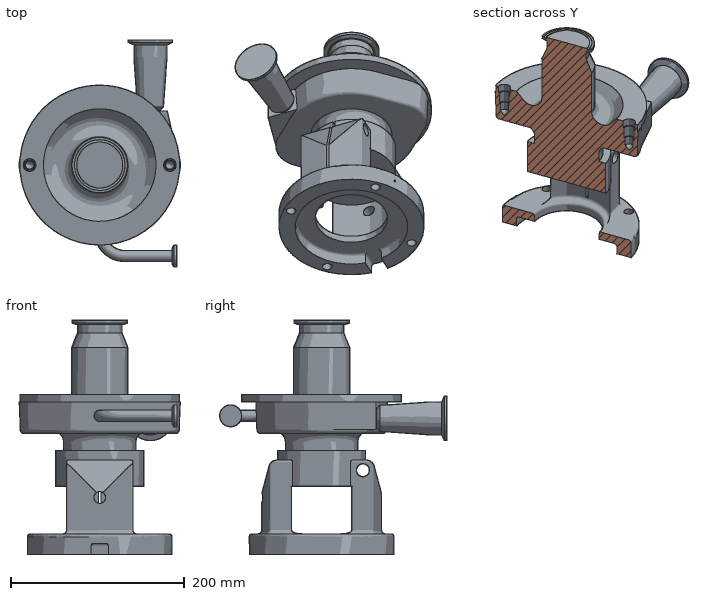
import cadquery as cq
import math

base_top = 24.0
collar_bottom = 78.5
leg_top = 109.0
collar_top = 120.2
casing_bottom = 139.5
flange_bottom = 175.8
flange_top = 184.7
inlet_top = 270.0

base_radius = 83.5
base_bore_radius = 41.5
base_pocket_height = 13.0
base_round = 3.5
base_pocket_radius = 64.8
base_bolt_circle_radius = 74.8
base_bolt_radius = 5.5
notch_width = 20.0
notch_round = 3.2
pin_hole_radius = 1.0
pin_hole_depth = 8.0
pin_hole_angle = 150

leg_half_width = 38.3
leg_shoulder_y = 59.5
leg_ridge_y = 69.0
leg_ridge_half_width = 2.5
leg_bore_radius = 51.5
leg_slope_start = 70.2
leg_slope_angle = 15
leg_top_round = 10.0
leg_corner_round = 2.7
leg_foot_fillet = 4.3
front_hole_radius = 6.8
front_hole_height = 66.0
clamp_hole_radius = 7.3
clamp_hole_y = 47.5
clamp_hole_height = 97.2
clamp_slit_width = 2.7

collar_radius = 50.8
neck_radius = 41.8
neck_flare_start = 130.1
neck_flare_radius = 11.3

casing_radius = 76.0
lobe_radius = 35.0
lobe_center_x = 57.8
casing_draft = 2
casing_bottom_round = 4.3
flange_radius = 92.0

recess_outer_radius = 64.8
recess_groove_radius = 57.5
recess_cone_bottom = 177.0
groove_bottom = 171.5
groove_center_radius = 46.5
pipe_radius = 32.5
pipe_foot = 185.5
pipe_shoulder = 238.7
inlet_neck_radius = 25.6
inlet_neck_bottom = 255.5
inlet_rim_radius = 31.9
inlet_rim_thickness = 3.5
inlet_rim_taper = 1.5
gasket_groove_radius = 27.8
gasket_groove_half_width = 1.4

screw_x = 80.7
screw_clearance_radius = 7.3
screw_thread_radius = 6.0
screw_core_radius = 4.9
screw_thread_depth = 13.5
screw_hole_bottom = 147.2

outlet_x = 58.3
outlet_z = 157.0
outlet_end_y = 144.2
outlet_rim_radius = 25.6
outlet_rim_thickness = 3.0
outlet_rim_taper = 3.0
outlet_radius = 19.2
outlet_cone_end_y = 124.2
outlet_foot_radius = 15.0
outlet_foot_y = 67.0
outlet_weld = 3.8
boss_end_y = 62.5
boss_corner_x = 77.8
boss_side_x = 90.2
boss_side_y = 7.5
boss_inner_x = 32.5

drain_radius = 6.5
drain_z = 159.8
drain_bend_radius = 29.0
drain_start_y = -70.2
drain_y = -104.8
drain_end_x = 88.8
drain_rim_radius = 12.7
drain_rim_thickness = 3.5
drain_rim_taper = 2.5
drain_rim_foot_radius = 8.6


def cylinder(radius, bottom, top, x=0, y=0):
    """Upright cylinder between two heights."""
    return cq.Workplane("XY", origin=(x, y, bottom)).circle(radius).extrude(top - bottom)


def edges_on_base_top(half_x, half_y):
    """Selector for edges lying on the base's top face, inside a centred rectangle."""
    margin = 0.3
    return cq.selectors.BoxSelector(
        (-half_x - margin, -half_y - margin, base_top - margin),
        (half_x + margin, half_y + margin, base_top + margin),
        boundingbox=True,
    )


def make_leg():
    """Leg on the -Y side: where its plan, side and front outlines overlap."""
    height = leg_top - base_top
    plan = (
        cq.Workplane("XY", origin=(0, 0, base_top))
        .moveTo(-leg_half_width, 0)
        .lineTo(-leg_half_width, -leg_shoulder_y)
        .lineTo(-leg_ridge_half_width, -leg_ridge_y)
        .lineTo(leg_ridge_half_width, -leg_ridge_y)
        .lineTo(leg_half_width, -leg_shoulder_y)
        .lineTo(leg_half_width, 0)
        .close()
        .extrude(height)
    )
    shoulder_edges = cq.selectors.BoxSelector(
        (-leg_half_width - leg_corner_round, -leg_shoulder_y - leg_corner_round, 0),
        (leg_half_width + leg_corner_round, -leg_shoulder_y + leg_corner_round, leg_top),
    )
    plan = plan.edges("|Z").edges(shoulder_edges).fillet(leg_corner_round)

    lean = (leg_top - leg_slope_start) * math.tan(math.radians(leg_slope_angle))
    side = (
        cq.Workplane("YZ")
        .moveTo(0, base_top)
        .lineTo(-leg_ridge_y, base_top)
        .lineTo(-leg_ridge_y, leg_slope_start)
        .lineTo(-leg_ridge_y + lean, leg_top)
        .lineTo(0, leg_top)
        .close()
        .extrude(leg_half_width, both=True)
    )
    side = side.faces(">Z").edges("<Y").fillet(leg_top_round)

    front = (
        cq.Workplane("XZ", origin=(0, 0, base_top + height / 2))
        .rect(2 * leg_half_width, height)
        .extrude(leg_ridge_y)
        .faces(">Z")
        .edges("|Y")
        .fillet(leg_corner_round)
    )
    leg = plan.intersect(side).intersect(front)
    return leg.cut(cylinder(leg_bore_radius, 0, collar_bottom))


def make_stand():
    """Base ring with both legs, a fillet around each foot and rounded ring edges."""
    base = cylinder(base_radius, 0, base_top)
    base = base.faces(">Z").edges().fillet(base_round)
    leg = make_leg()
    stand = base.union(leg).union(leg.mirror("XZ"))
    stand = stand.edges(edges_on_base_top(leg_half_width, leg_ridge_y)).fillet(leg_foot_fillet)
    stand = stand.cut(cylinder(base_bore_radius, 0, base_top))
    bore_rim = edges_on_base_top(base_bore_radius, base_bore_radius)
    stand = stand.edges(bore_rim).fillet(base_round)

    pocket = cylinder(base_pocket_radius, 0, base_pocket_height)
    return stand.cut(pocket.faces(">Z").edges().fillet(base_round))


def add_stand_holes(body):
    """Holes, notch and clamp slit of the base and legs."""
    for corner in range(4):
        angle = math.radians(45 + 90 * corner)
        x = base_bolt_circle_radius * math.cos(angle)
        y = base_bolt_circle_radius * math.sin(angle)
        body = body.cut(cylinder(base_bolt_radius, 0, base_top, x, y))

    notch = (
        cq.Workplane("XZ", origin=(0, 0, base_pocket_height / 2))
        .rect(notch_width, base_pocket_height)
        .extrude(base_radius)
        .faces(">Z")
        .edges("|Y")
        .fillet(notch_round)
    )
    body = body.cut(notch)

    angle = math.radians(pin_hole_angle)
    outward = cq.Vector(math.cos(angle), math.sin(angle), 0)
    pin_start = outward * (base_radius - pin_hole_depth) + cq.Vector(0, 0, base_top / 2)
    body = body.cut(cq.Solid.makeCylinder(pin_hole_radius, 2 * pin_hole_depth, pin_start, outward))

    front_hole = (
        cq.Workplane("XZ", origin=(0, 0, front_hole_height))
        .circle(front_hole_radius)
        .extrude(leg_ridge_y)
    )
    body = body.cut(front_hole)

    clamp_hole = (
        cq.Workplane("YZ", origin=(0, clamp_hole_y, clamp_hole_height))
        .circle(clamp_hole_radius)
        .extrude(leg_half_width, both=True)
    )
    slit_length = leg_ridge_y - neck_radius
    slit = (
        cq.Workplane("XY", origin=(0, neck_radius + slit_length / 2, base_top + leg_foot_fillet))
        .rect(clamp_slit_width, slit_length)
        .extrude(collar_top - base_top - leg_foot_fillet)
    )
    return body.cut(clamp_hole).cut(slit)


def make_neck():
    """Neck flaring into the casing."""
    flare_center_x = neck_radius + neck_flare_radius
    flare_rise = casing_bottom - neck_flare_start
    flare_run = math.sqrt(neck_flare_radius**2 - flare_rise**2)
    half_sweep = math.asin(flare_rise / neck_flare_radius) / 2
    flare_middle = (
        flare_center_x - neck_flare_radius * math.cos(half_sweep),
        neck_flare_start + neck_flare_radius * math.sin(half_sweep),
    )
    return (
        cq.Workplane("XZ")
        .moveTo(0, collar_top)
        .lineTo(neck_radius, collar_top)
        .lineTo(neck_radius, neck_flare_start)
        .threePointArc(flare_middle, (flare_center_x - flare_run, casing_bottom))
        .lineTo(0, casing_bottom)
        .close()
        .revolve(360, (0, 0), (0, 1))
    )


def make_casing():
    """Drafted casing: a circle joined to a smaller lobe on each side by tangent lines."""
    tangent_angle = math.acos((casing_radius - lobe_radius) / lobe_center_x)
    cos_t = math.cos(tangent_angle)
    sin_t = math.sin(tangent_angle)
    main_x, main_y = casing_radius * cos_t, casing_radius * sin_t
    lobe_x, lobe_y = lobe_center_x + lobe_radius * cos_t, lobe_radius * sin_t
    lobe_tip = lobe_center_x + lobe_radius
    casing = (
        cq.Workplane("XY", origin=(0, 0, flange_bottom))
        .moveTo(-main_x, main_y)
        .threePointArc((0, casing_radius), (main_x, main_y))
        .lineTo(lobe_x, lobe_y)
        .threePointArc((lobe_tip, 0), (lobe_x, -lobe_y))
        .lineTo(main_x, -main_y)
        .threePointArc((0, -casing_radius), (-main_x, -main_y))
        .lineTo(-lobe_x, -lobe_y)
        .threePointArc((-lobe_tip, 0), (-lobe_x, lobe_y))
        .close()
        .extrude(casing_bottom - flange_bottom, taper=casing_draft)
    )
    casing = casing.faces("<Z").edges().fillet(casing_bottom_round)

    boss = (
        cq.Workplane("XY", origin=(0, 0, casing_bottom + casing_bottom_round))
        .moveTo(boss_inner_x, boss_side_y)
        .lineTo(boss_side_x, boss_side_y)
        .lineTo(boss_corner_x, boss_end_y)
        .lineTo(boss_inner_x, boss_end_y)
        .close()
        .extrude(flange_bottom - casing_bottom - casing_bottom_round)
    )
    flange = cylinder(flange_radius, flange_bottom, flange_top)
    return casing.union(boss).union(flange)


def add_screw_holes(body):
    """Blind threaded holes with clearance through the flange and a conical end."""
    thread_bottom = flange_bottom - screw_thread_depth
    hole = (
        cq.Workplane("XZ")
        .moveTo(0, flange_top)
        .lineTo(screw_clearance_radius, flange_top)
        .lineTo(screw_clearance_radius, flange_bottom)
        .lineTo(screw_thread_radius, flange_bottom)
        .lineTo(screw_thread_radius, thread_bottom)
        .lineTo(screw_core_radius, thread_bottom)
        .lineTo(screw_core_radius, screw_hole_bottom + screw_core_radius)
        .lineTo(0, screw_hole_bottom)
        .close()
        .revolve(360, (0, 0), (0, 1))
    )
    for x in (-screw_x, screw_x):
        body = body.cut(hole.translate((x, 0, 0)))
    return body


def make_recess():
    """Conical dish and rounded groove around the foot of the inlet pipe."""
    return (
        cq.Workplane("XZ")
        .moveTo(0, pipe_foot)
        .lineTo(pipe_radius, pipe_foot)
        .threePointArc(
            (groove_center_radius, groove_bottom),
            (recess_groove_radius, recess_cone_bottom),
        )
        .lineTo(recess_outer_radius, flange_top)
        .lineTo(recess_outer_radius, pipe_foot)
        .close()
        .revolve(360, (0, 0), (0, 1))
        .cut(cylinder(pipe_radius, casing_bottom, inlet_top))
    )


def make_inlet():
    """Inlet pipe narrowing to a clamp ferrule with a gasket groove."""
    rim_bottom = inlet_top - inlet_rim_thickness
    pipe = (
        cq.Workplane("XZ")
        .moveTo(0, casing_bottom)
        .lineTo(pipe_radius, casing_bottom)
        .lineTo(pipe_radius, pipe_shoulder)
        .lineTo(inlet_neck_radius, inlet_neck_bottom)
        .lineTo(inlet_neck_radius, rim_bottom - inlet_rim_taper)
        .lineTo(inlet_neck_radius + inlet_rim_taper, rim_bottom - inlet_rim_taper)
        .lineTo(inlet_rim_radius, rim_bottom)
        .lineTo(inlet_rim_radius, inlet_top)
        .lineTo(0, inlet_top)
        .close()
        .revolve(360, (0, 0), (0, 1))
    )
    gasket_groove = cq.Solid.makeTorus(
        gasket_groove_radius, gasket_groove_half_width, cq.Vector(0, 0, inlet_top)
    )
    return pipe.cut(gasket_groove)


def make_outlet():
    """Tapered outlet with a clamp ferrule, pointing along +Y."""
    rim_start_y = outlet_end_y - outlet_rim_thickness
    return (
        cq.Workplane("XY", origin=(outlet_x, 0, outlet_z))
        .moveTo(0, 0)
        .lineTo(outlet_foot_radius - outlet_weld, 0)
        .lineTo(outlet_foot_radius - outlet_weld, outlet_foot_y - outlet_weld)
        .lineTo(outlet_foot_radius, outlet_foot_y)
        .lineTo(outlet_radius, outlet_cone_end_y)
        .lineTo(outlet_radius, rim_start_y - outlet_rim_taper)
        .lineTo(outlet_rim_radius, rim_start_y)
        .lineTo(outlet_rim_radius, outlet_end_y)
        .lineTo(0, outlet_end_y)
        .close()
        .revolve(360, (0, 0), (0, 1))
    )


def make_drain():
    """Drain tube leaving along -Y, bending to +X and ending in a small ferrule."""
    bend_start_y = drain_y + drain_bend_radius
    bend_offset = drain_bend_radius * math.sqrt(0.5)
    bend_middle = (drain_bend_radius - bend_offset, bend_start_y - bend_offset)
    rim_start_x = drain_end_x - drain_rim_thickness
    path = (
        cq.Workplane("XY", origin=(0, 0, drain_z))
        .moveTo(0, drain_start_y)
        .lineTo(0, bend_start_y)
        .threePointArc(bend_middle, (drain_bend_radius, drain_y))
        .lineTo(rim_start_x, drain_y)
    )
    tube = (
        cq.Workplane("XZ", origin=(0, drain_start_y, drain_z))
        .circle(drain_radius)
        .sweep(path)
    )
    ferrule = (
        cq.Workplane("XY", origin=(0, drain_y, drain_z))
        .moveTo(rim_start_x - drain_rim_taper, 0)
        .lineTo(rim_start_x - drain_rim_taper, drain_rim_foot_radius)
        .lineTo(rim_start_x, drain_rim_radius)
        .lineTo(drain_end_x, drain_rim_radius)
        .lineTo(drain_end_x, 0)
        .close()
        .revolve(360, (0, 0), (1, 0))
    )
    return tube.union(ferrule)


collar = cylinder(collar_radius, collar_bottom, collar_top)
stand = add_stand_holes(make_stand().union(collar))
casing = add_screw_holes(make_casing().cut(make_recess()))
result = stand.union(make_neck()).union(casing)
for pipe in (make_inlet(), make_outlet(), make_drain()):
    result = result.union(pipe)